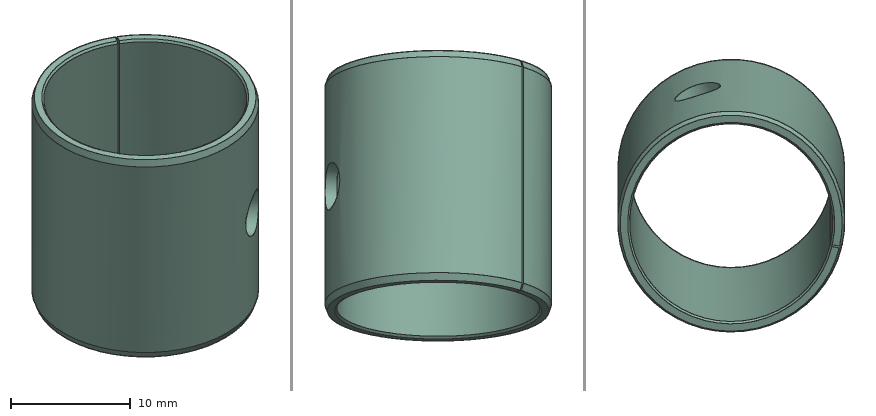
import cadquery as cq
import math

length = 20
outer_diameter = 19
bore_diameter = 17

outer_chamfer_length = 0.6
outer_chamfer_angle = 20
outer_chamfer_depth = outer_chamfer_length * math.tan(math.radians(outer_chamfer_angle))
inner_chamfer_length = 0.2
inner_chamfer_depth = 0.15

joint_angle = 180
gap_angle = 1

hole_diameter = 4
hole_angle = 59


def split_sleeve():
    """Revolve the chamfered wall section about Z, leaving the joint gap open."""
    outer = outer_diameter / 2
    bore = bore_diameter / 2
    top = length / 2
    section = [
        (bore, -top + inner_chamfer_length),
        (bore + inner_chamfer_depth, -top),
        (outer - outer_chamfer_depth, -top),
        (outer, -top + outer_chamfer_length),
        (outer, top - outer_chamfer_length),
        (outer - outer_chamfer_depth, top),
        (bore + inner_chamfer_depth, top),
        (bore, top - inner_chamfer_length),
    ]
    wall = cq.Workplane("XZ").polyline(section).close()
    sleeve = wall.revolve(360 - gap_angle, (0, 0, 0), (0, 1, 0))
    return sleeve.rotate((0, 0, 0), (0, 0, 1), joint_angle)


def lubrication_hole():
    """Radial cylinder from the axis out through one side of the wall."""
    hole = cq.Workplane("YZ").circle(hole_diameter / 2).extrude(outer_diameter)
    return hole.rotate((0, 0, 0), (0, 0, 1), hole_angle)


result = split_sleeve().cut(lubrication_hole())